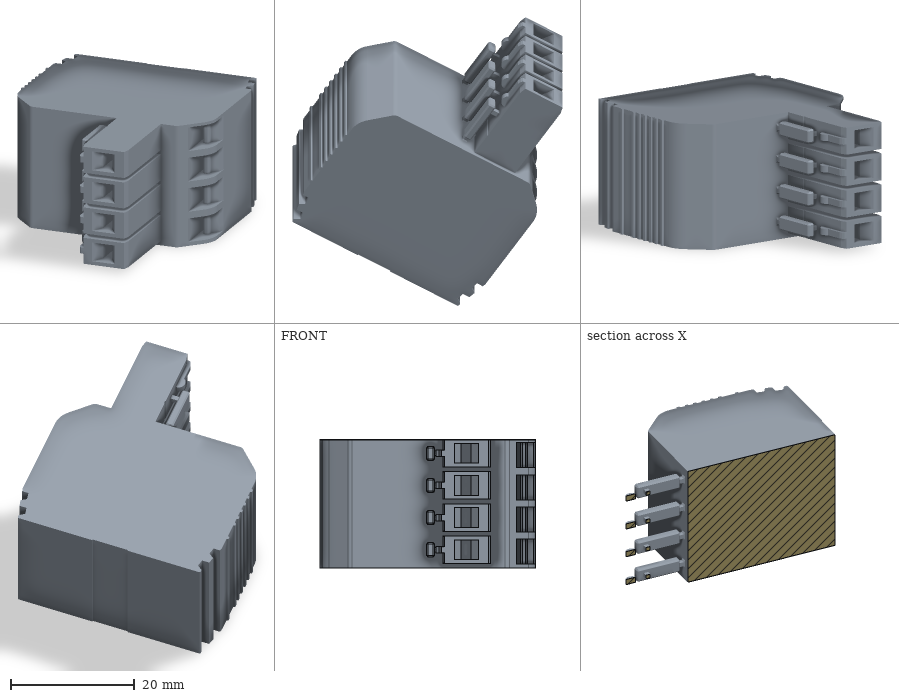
import cadquery as cq


BODY_WIDTH = 34.6
BODY_DEPTH = 26.8
POLE_COUNT = 4
POLE_PITCH = 5.2
BODY_HEIGHT = POLE_COUNT * POLE_PITCH
CORNER_CHAMFER = 4.5
SIDE_RADIUS = 4.0
FRONT_RADIUS = 1.0
HALF_WIDTH = BODY_WIDTH / 2

BACK_RECESS_WIDTH = 6.1
BACK_RECESS_DEPTH = 0.15
BACK_RECESS_X = -0.2

TOOTH_STEP_IN = 0.83
TOOTH_PITCH = 3.0
TOOTH_VALLEY = (2.3, 1.2)
TOOTH_ROOT = (2.07, 2.45)
TOOTH_LEDGE_INSET = 0.85
TOOTH_TIP = (0.57, 3.6)
BACK_LIP_INSET = 1.43
BACK_LIP_CHAMFER = 0.15
BACK_LIP_HEIGHT = 0.6
SHOULDER_INSET = 0.15
SHOULDER_LENGTH = 0.55

RIB_FIRST_Y = 7.85
RIB_PITCH = 1.51
RIB_POSITIONS = (0, 1, 2, 3, 4, 5, 7)
RIB_HEIGHT = 0.3
RIB_ROOT_WIDTH = 0.65
RIB_TOP_WIDTH = 0.5

LEG_X_MIN = 2.3
LEG_WIDTH = 7.7
LEG_LENGTH = 15.1
LEG_HEIGHT = 4.45
LEG_TIP_TAPER = 0.3
LEG_TIP_TAPER_LENGTH = 1.15
LEG_X_MAX = LEG_X_MIN + LEG_WIDTH

GROOVE_Y = -4.3
GROOVE_WIDTH = 0.6
GROOVE_DEPTH = 0.1

SOCKET_X_MIN = 4.15
SOCKET_WIDTH = 3.9
SOCKET_HEIGHT = 3.2
FUNNEL_DEPTH = 2.0
BORE_X_MIN = 5.25
BORE_WIDTH = 1.6
SOCKET_DEPTH = 6.0

BAR_X = 0.3
BAR_WIDTH = 1.3
BAR_HEIGHT = 2.3
BAR_BACK_Y = -0.95
BAR_LENGTH = 7.8
BAR_CHAMFER = 0.25
NECK_WIDTH = 0.85
NECK_HEIGHT = 0.75
NECK_ROOT_HEIGHT = 1.3
NECK_ROOT_LENGTH = 0.25
BRIDGE_Y = -7.2
BRIDGE_WIDTH = 0.8
BRIDGE_HEIGHT = 0.75

LATCH_HEIGHT = 1.05
LATCH_STANDOFF = 0.6
LATCH_TAPER = 0.4
LATCH_TAPER_LENGTH = 0.8
LATCH_BEND_LENGTH = 0.3
NOSE_Y = -10.35
NOSE_RADIUS = 1.12
NOSE_STANDOFF = 1.15

RECESS_HEIGHT = 4.05
RECESS_DROP = 0.3
RECESS_X_MIN = 14.2
RECESS_BACK_Y = 9.0
RECESS_FLOOR = (
    (14.9, 6.2),
    (15.2, 6.0),
    (15.65, 6.0),
    (15.9, 6.3),
    (16.0, 7.0),
    (17.0, 8.0),
)


def mirrored(points):
    """Mirror a list of (x, y) points across the YZ plane, reversing their order."""
    return [(-x, y) for x, y in reversed(points)]


def box(x_min, x_max, y_min, y_max, z_min, z_max):
    """Axis-aligned block between the given limits."""
    size = (x_max - x_min, y_max - y_min, z_max - z_min)
    return cq.Workplane("XY").box(*size, centered=False).translate((x_min, y_min, z_min))


def prism(points, z_min, height):
    """Straight prism along Z on a closed polygon."""
    return cq.Workplane("XY").workplane(offset=z_min).polyline(points).close().extrude(height)


def leg_middle(pole):
    """Z of the middle of a leg; the topmost leg is flush with the top of the housing."""
    return (pole + 1) * POLE_PITCH - LEG_HEIGHT / 2


def grip_teeth():
    """Points of the toothed -X back corner, from the side face to the back face."""
    def corner_point(inset, drop):
        return (inset - HALF_WIDTH, BODY_DEPTH - drop)

    shoulder_drop = TOOTH_ROOT[1] + TOOTH_PITCH
    points = [
        corner_point(0, shoulder_drop + SHOULDER_LENGTH),
        corner_point(SHOULDER_INSET, shoulder_drop),
    ]
    for step in (1, 0):
        inset_shift = -step * TOOTH_STEP_IN
        drop_shift = step * TOOTH_PITCH
        points.append(corner_point(TOOTH_ROOT[0] + inset_shift, TOOTH_ROOT[1] + drop_shift))
        points.append(corner_point(TOOTH_VALLEY[0] + inset_shift, TOOTH_VALLEY[1] + drop_shift))
        if step == 1:
            points.append(corner_point(*TOOTH_TIP))
            points.append(corner_point(TOOTH_LEDGE_INSET, TOOTH_ROOT[1]))
    points.append(corner_point(BACK_LIP_INSET, BACK_LIP_HEIGHT))
    points.append(corner_point(BACK_LIP_INSET, BACK_LIP_CHAMFER))
    points.append(corner_point(BACK_LIP_INSET + BACK_LIP_CHAMFER, 0))
    return points


def housing():
    """Housing with chamfered and rounded front corners and toothed back corners."""
    left_side = [
        (CORNER_CHAMFER - HALF_WIDTH, 0),
        (-HALF_WIDTH, CORNER_CHAMFER),
        *grip_teeth(),
    ]
    body = prism(left_side + mirrored(left_side), 0, BODY_HEIGHT)
    for side in (-1, 1):
        side_corner = (side * HALF_WIDTH, CORNER_CHAMFER, BODY_HEIGHT / 2)
        front_corner = (side * (HALF_WIDTH - CORNER_CHAMFER), 0, BODY_HEIGHT / 2)
        body = body.edges(cq.NearestToPointSelector(side_corner)).fillet(SIDE_RADIUS)
        body = body.edges(cq.NearestToPointSelector(front_corner)).fillet(FRONT_RADIUS)
    back_recess = box(
        BACK_RECESS_X - BACK_RECESS_WIDTH / 2, BACK_RECESS_X + BACK_RECESS_WIDTH / 2,
        BODY_DEPTH - BACK_RECESS_DEPTH, BODY_DEPTH,
        0, BODY_HEIGHT,
    )
    return body.cut(back_recess)


def side_rib(position):
    """Tapered full-height rib on the -X side."""
    y = RIB_FIRST_Y + position * RIB_PITCH
    outline = [
        (-HALF_WIDTH, y - RIB_ROOT_WIDTH / 2),
        (-HALF_WIDTH, y + RIB_ROOT_WIDTH / 2),
        (-HALF_WIDTH - RIB_HEIGHT, y + RIB_TOP_WIDTH / 2),
        (-HALF_WIDTH - RIB_HEIGHT, y - RIB_TOP_WIDTH / 2),
    ]
    return prism(outline, 0, BODY_HEIGHT)


def leg(z):
    """Contact leg with a tapered tip and a shallow groove across its -X face."""
    taper_y = LEG_TIP_TAPER_LENGTH - LEG_LENGTH
    outline = [
        (LEG_X_MIN, 0),
        (LEG_X_MIN, taper_y),
        (LEG_X_MIN + LEG_TIP_TAPER, -LEG_LENGTH),
        (LEG_X_MAX - LEG_TIP_TAPER, -LEG_LENGTH),
        (LEG_X_MAX, taper_y),
        (LEG_X_MAX, 0),
    ]
    z_min = z - LEG_HEIGHT / 2
    groove = box(
        LEG_X_MIN, LEG_X_MIN + GROOVE_DEPTH,
        GROOVE_Y - GROOVE_WIDTH / 2, GROOVE_Y + GROOVE_WIDTH / 2,
        z_min, z_min + LEG_HEIGHT,
    )
    return prism(outline, z_min, LEG_HEIGHT).cut(groove)


def socket(z):
    """Socket in the leg tip: a funnel narrowing in X, then a straight bore."""
    funnel_y = FUNNEL_DEPTH - LEG_LENGTH
    floor_y = SOCKET_DEPTH - LEG_LENGTH
    outline = [
        (SOCKET_X_MIN, -LEG_LENGTH),
        (SOCKET_X_MIN + SOCKET_WIDTH, -LEG_LENGTH),
        (BORE_X_MIN + BORE_WIDTH, funnel_y),
        (BORE_X_MIN + BORE_WIDTH, floor_y),
        (BORE_X_MIN, floor_y),
        (BORE_X_MIN, funnel_y),
    ]
    return prism(outline, z - SOCKET_HEIGHT / 2, SOCKET_HEIGHT)


def release_bar(z):
    """Chamfered bar, held by a flared neck to the housing and by a bridge to the leg."""
    bar = box(
        BAR_X - BAR_WIDTH / 2, BAR_X + BAR_WIDTH / 2,
        BAR_BACK_Y - BAR_LENGTH, BAR_BACK_Y,
        z - BAR_HEIGHT / 2, z + BAR_HEIGHT / 2,
    ).edges().chamfer(BAR_CHAMFER)
    neck_outline = [
        (BAR_BACK_Y, z - NECK_HEIGHT / 2),
        (-NECK_ROOT_LENGTH, z - NECK_HEIGHT / 2),
        (0, z - NECK_ROOT_HEIGHT / 2),
        (0, z + NECK_ROOT_HEIGHT / 2),
        (-NECK_ROOT_LENGTH, z + NECK_HEIGHT / 2),
        (BAR_BACK_Y, z + NECK_HEIGHT / 2),
    ]
    neck = (
        cq.Workplane("YZ").workplane(offset=BAR_X - NECK_WIDTH / 2)
        .polyline(neck_outline).close().extrude(NECK_WIDTH)
    )
    bridge = box(
        BAR_X, LEG_X_MIN,
        BRIDGE_Y - BRIDGE_WIDTH / 2, BRIDGE_Y + BRIDGE_WIDTH / 2,
        z - BRIDGE_HEIGHT / 2, z + BRIDGE_HEIGHT / 2,
    )
    return bar.union(neck).union(bridge)


def latch(z):
    """Thin strip along the leg with a tapered tip and a round nose at its back end."""
    strip_x = LEG_X_MIN - LATCH_STANDOFF
    inner_x = LEG_X_MIN + LEG_TIP_TAPER
    outline = [
        (inner_x, NOSE_Y),
        (strip_x, NOSE_Y),
        (strip_x, LATCH_TAPER_LENGTH - LEG_LENGTH),
        (strip_x + LATCH_TAPER / 2, LATCH_BEND_LENGTH - LEG_LENGTH),
        (strip_x + LATCH_TAPER, -LEG_LENGTH),
        (inner_x, -LEG_LENGTH),
    ]
    z_min = z - LATCH_HEIGHT / 2
    nose_x = LEG_X_MIN - NOSE_STANDOFF + NOSE_RADIUS
    nose = (
        cq.Workplane("XY").workplane(offset=z_min)
        .center(nose_x, NOSE_Y).circle(NOSE_RADIUS).extrude(LATCH_HEIGHT)
    )
    return prism(outline, z_min, LATCH_HEIGHT).union(nose)


def corner_recess(z):
    """Recess in the +X front corner: a steep groove, a stepped crest and a slope to the side."""
    outline = [
        (RECESS_X_MIN, 0),
        (RECESS_X_MIN, RECESS_BACK_Y),
        *RECESS_FLOOR,
        (HALF_WIDTH, RECESS_BACK_Y),
        (HALF_WIDTH, 0),
    ]
    return prism(outline, z - RECESS_HEIGHT / 2, RECESS_HEIGHT)


result = housing()
for rib_position in RIB_POSITIONS:
    result = result.union(side_rib(rib_position))
for pole in range(POLE_COUNT):
    middle = leg_middle(pole)
    result = result.union(leg(middle))
    result = result.union(latch(middle))
    result = result.cut(socket(middle))
    result = result.union(release_bar(middle))
    result = result.cut(corner_recess(middle - RECESS_DROP))